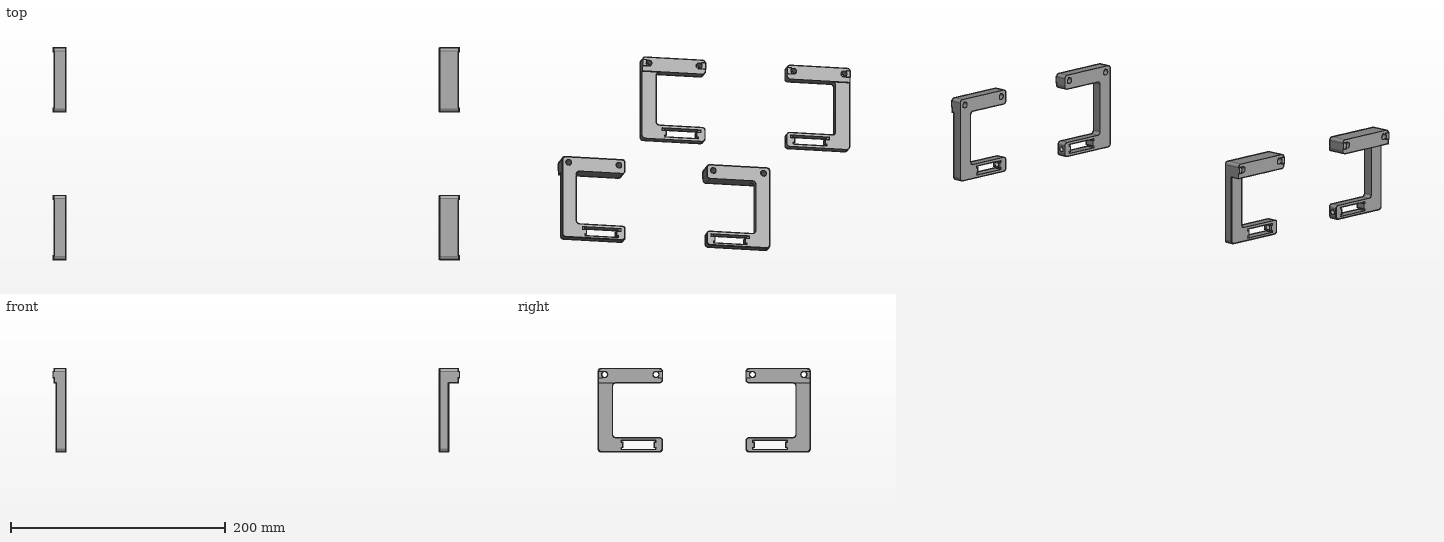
import cadquery as cq

total_length = 378.6
total_width = 197.74
height = 77.91

frame_width = 60.0
beam = 13.5
corner_radius = 3.0

stem = 9.0
thin_head = 11.0
thick_head = 18.0
edge_chamfer = 0.6

hole_diameter = 5.4
hole_from_end = 6.1
hole_from_top = 5.7
pad_height = 1.0
pad_length = 3.9
pad_width = 6.1

slot_from_tip = 22.3
slot_bottom = 2.45
slot_top = 11.0
neck_width = 29.2
flange_width = 32.0
flange_height = 1.7
recess_width = 36.8
recess_height = 2.4
recess_depth = 2.0

tip_hole_diameter = 4.7

outer_y = total_width / 2
tip_y = outer_y - frame_width
slot_y = tip_y + slot_from_tip
hole_z = height - hole_from_top
head_bottom = height - beam


def block(x, y, z):
    """Box spanning the given (low, high) pairs along X, Y and Z."""
    size = (x[1] - x[0], y[1] - y[0], z[1] - z[0])
    return cq.Workplane("XY").box(*size, centered=False).translate((x[0], y[0], z[0]))


def slot_block(x, width, z):
    """Box centred on the slot along Y."""
    return block(x, (slot_y - width / 2, slot_y + width / 2), z)


def rounded_beam(head, z, edges):
    """Horizontal arm as long as the frame, with the chosen edges rounded."""
    arm = block((0, head), (tip_y, outer_y), z)
    return arm.edges(edges).fillet(corner_radius)


def frame(head, chamfer=0):
    """C-shaped frame opening toward -Y, with a head deeper than its stem."""
    plate = block((0, stem), (tip_y, outer_y), (0, height))
    plate = plate.edges("|X").fillet(corner_radius)
    if chamfer:
        plate = plate.faces("<X or >X").edges().chamfer(chamfer)
    cap = block((chamfer, head), (tip_y, outer_y), (head_bottom, height))
    cap = cap.edges("|X and >Z").fillet(corner_radius)

    window = block((0, head), (tip_y, outer_y - beam), (beam, head_bottom))
    window = window.edges("|X and >Y").fillet(corner_radius)

    tip_waste = block(
        (0, head),
        (tip_y, tip_y + corner_radius),
        (beam - corner_radius, head_bottom + corner_radius),
    )
    tip_waste = tip_waste.cut(rounded_beam(head, (0, beam), "|X and <Y and >Z"))
    tip_waste = tip_waste.cut(rounded_beam(head, (head_bottom, height), "|X and <Y and <Z"))
    return plate.union(cap).cut(window).cut(tip_waste)


def add_pads(body, head):
    """Pads on the outboard face of the head, one at each end."""
    pad_z = (hole_z - pad_width / 2, hole_z + pad_width / 2)
    for pad_y in (tip_y, outer_y - pad_length):
        body = body.union(block((head, head + pad_height), (pad_y, pad_y + pad_length), pad_z))
    return body


def cut_head_holes(body, head):
    """Through holes along X near both ends of the head."""
    for hole_y in (tip_y + hole_from_end, outer_y - hole_from_end):
        hole = cq.Workplane("YZ").center(hole_y, hole_z).circle(hole_diameter / 2)
        body = body.cut(hole.extrude(head + pad_height))
    return body


def cut_slot(body, recess_x):
    """Through slot, the recess along its top and the insert hole from the arm tip."""
    through = (0, stem)
    body = body.cut(slot_block(through, neck_width, (slot_bottom, slot_top)))
    body = body.cut(slot_block(through, flange_width, (slot_bottom, slot_bottom + flange_height)))
    body = body.cut(slot_block(through, flange_width, (slot_top - flange_height, slot_top)))
    body = body.cut(slot_block(recess_x, recess_width, (slot_top - recess_height, slot_top)))
    tip_hole = cq.Workplane("XZ", origin=(stem / 2, tip_y, beam / 2)).circle(tip_hole_diameter / 2)
    return body.cut(tip_hole.extrude(-slot_from_tip))


def thin_bracket():
    """Bracket of the -X pair: pads and slot recess face -X."""
    body = add_pads(frame(thin_head), thin_head)
    body = cut_head_holes(body, thin_head)
    body = cut_slot(body, (stem - recess_depth, stem))
    return body.mirror("YZ").translate((thin_head + pad_height - total_length / 2, 0, 0))


def thick_bracket():
    """Bracket of the +X pair: pads face +X, slot recess faces -X."""
    body = add_pads(frame(thick_head, edge_chamfer), thick_head)
    body = cut_head_holes(body, thick_head)
    body = cut_slot(body, (0, recess_depth))
    return body.translate((total_length / 2 - thick_head - pad_height, 0, 0))


solids = []
for bracket in (thin_bracket(), thick_bracket()):
    solids.append(bracket.val())
    solids.append(bracket.mirror("XZ").val())

result = cq.Compound.makeCompound(solids)